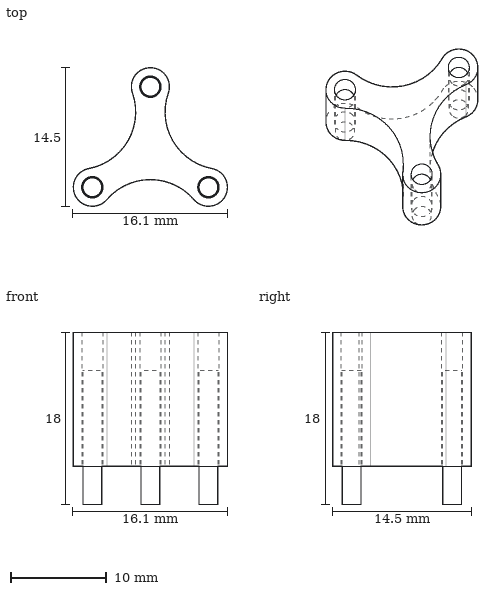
import cadquery as cq
import math

overall_height = 18

housing_height = 14.0
lobe_pitch_radius = 7.0
lobe_radius = 2.0
flank_radius = 6.0
bore_diameter = 2.2

pin_diameter = 2.0
pin_length = housing_height
pin_protrusion = overall_height - housing_height

lobe_count = 3
first_lobe_angle = 90
lobe_spacing = 360 / lobe_count
lobe_angles = [first_lobe_angle + i * lobe_spacing for i in range(lobe_count)]


def polar(radius, angle):
    """Point at a radius from the part axis and an angle in degrees from +X."""
    return (radius * math.cos(math.radians(angle)), radius * math.sin(math.radians(angle)))


def point_between(start, end, fraction):
    """Point on the line from start to end, at a fraction of its length."""
    return tuple(a + fraction * (b - a) for a, b in zip(start, end))


lobe_centers = [polar(lobe_pitch_radius, angle) for angle in lobe_angles]

half_spacing = math.radians(lobe_spacing / 2)
half_chord = lobe_pitch_radius * math.sin(half_spacing)
chord_distance = lobe_pitch_radius * math.cos(half_spacing)
center_distance = lobe_radius + flank_radius
flank_pitch_radius = chord_distance + math.sqrt(center_distance**2 - half_chord**2)
tangent_fraction = lobe_radius / center_distance


def make_housing():
    """Prism with the lobed outline and a through bore in every lobe."""
    flank_centers = [polar(flank_pitch_radius, angle + lobe_spacing / 2) for angle in lobe_angles]
    outline = cq.Workplane("XY").moveTo(
        *point_between(lobe_centers[0], flank_centers[-1], tangent_fraction)
    )
    for angle, lobe_center, flank_center, next_lobe in zip(
        lobe_angles, lobe_centers, flank_centers, lobe_centers[1:] + lobe_centers[:1]
    ):
        lobe_tip = polar(lobe_pitch_radius + lobe_radius, angle)
        flank_start = point_between(lobe_center, flank_center, tangent_fraction)
        flank_middle = polar(flank_pitch_radius - flank_radius, angle + lobe_spacing / 2)
        flank_end = point_between(next_lobe, flank_center, tangent_fraction)
        outline = outline.threePointArc(lobe_tip, flank_start)
        outline = outline.threePointArc(flank_middle, flank_end)
    body = outline.close().extrude(housing_height)
    bores = cq.Workplane("XY").pushPoints(lobe_centers).circle(bore_diameter / 2).extrude(housing_height)
    return body.cut(bores)


def make_pin(center):
    """Round pin on a lobe axis, loose in its bore and standing out below the housing."""
    pin = cq.Workplane("XY").circle(pin_diameter / 2).extrude(pin_length)
    return pin.translate((*center, -pin_protrusion))


housing = make_housing()
pins = [make_pin(center) for center in lobe_centers]

result = cq.Compound.makeCompound([housing.val(), *[pin.val() for pin in pins]])